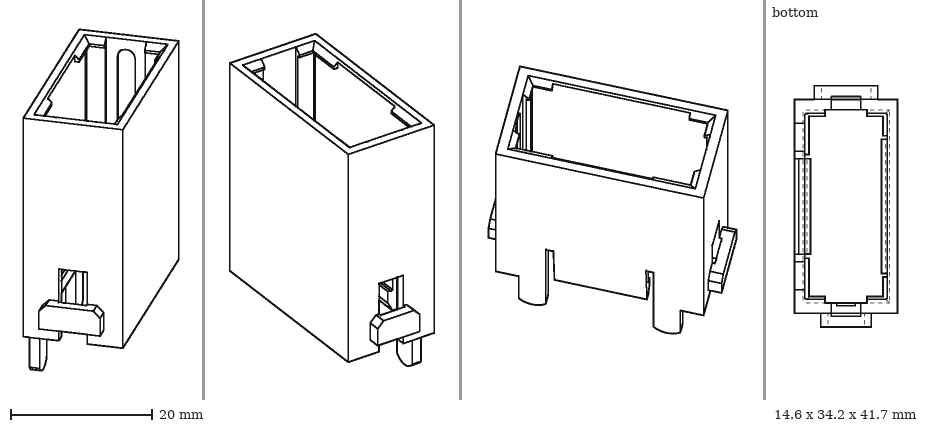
import cadquery as cq

body_x = 14.6
body_y = 30.32
overall_y = 34.2
overall_z = 41.65
leg_length = 7.37
body_z = overall_z - leg_length
wall = 1.5
half_x = body_x / 2
half_y = body_y / 2
cavity_half_x = half_x - wall
cavity_half_y = half_y - wall

mouth_half_x = 6.12
mouth_half_y = cavity_half_y
lip_slope = 0.9
lip_land = 0.37
lip_gap_ends = 5.9
lip_gap_left = 14.65
lip_gap_right = 20.0

pad_thickness = 0.5
pad_chamfer = 0.15

groove_width = 2.6
groove_depth = 0.4
groove_top = 32.7

slot_width = 4.12
slot_top = 11.25
slot_into_lug = 0.37
lug_length = (overall_y - body_y) / 2
lug_bottom = 2.45
lug_top = 6.25
lug_chamfer = 1.0
front_lug_width = 9.0
back_lug_width = 7.15

leg_inner = 7.85
leg_width = 3.95
leg_tip = 1.05

window_top = 9.4
tab_width = 13.5
right_catch_width = 19.08
tab_lean = 0.62
catch_depth = 0.8
catch_top = 3.45
catch_tip_z = 3.4
catch_valley_x = 0.25
catch_valley_z = 3.3
catch_chamfer_z = 1.5


def block(x0, x1, y0, y1, z0, z1):
    """Box between two opposite corners."""
    return cq.Workplane("XY").box(x1 - x0, y1 - y0, z1 - z0, centered=False).translate((x0, y0, z0))


def centred_along_y(profile, width):
    """Extrude an XZ profile along Y, symmetric about y = 0."""
    return cq.Workplane("XZ").polyline(profile).close().extrude(width / 2, both=True)


def make_sleeve():
    outer = block(-half_x, half_x, -half_y, half_y, 0, body_z)
    cavity = block(-cavity_half_x, cavity_half_x, -cavity_half_y, cavity_half_y, 0, body_z)
    return outer.cut(cavity)


def make_funnel():
    """Tapered lead-in, removed from both the lip and the upper edge of the walls."""
    return (
        cq.Workplane("XY", origin=(0, 0, body_z))
        .rect(2 * mouth_half_x, 2 * mouth_half_y)
        .workplane(offset=-lip_slope)
        .rect(2 * (mouth_half_x - lip_slope), 2 * (mouth_half_y - lip_slope))
        .loft(ruled=True)
    )


def make_lip():
    lip_bottom = body_z - lip_slope - lip_land
    ring = block(-half_x, half_x, -half_y, half_y, lip_bottom, body_z)
    throat_x = mouth_half_x - lip_slope
    throat_y = mouth_half_y - lip_slope
    throat = block(-throat_x, throat_x, -throat_y, throat_y, lip_bottom, body_z - lip_slope)
    gap_half = lip_gap_ends / 2
    end_gaps = block(-gap_half, gap_half, -cavity_half_y, cavity_half_y, lip_bottom, body_z)
    left_gap = block(-cavity_half_x, 0, -lip_gap_left / 2, lip_gap_left / 2, lip_bottom, body_z)
    right_gap = block(0, cavity_half_x, -lip_gap_right / 2, lip_gap_right / 2, lip_bottom, body_z)
    return ring.cut(throat).cut(end_gaps).cut(left_gap).cut(right_gap)


def make_pad(side_x, side_y):
    """Corner pad on an end wall, with a small chamfer into the long wall."""
    x_edge = lip_gap_ends / 2
    y_face = cavity_half_y - pad_thickness
    outline = [
        (x_edge, cavity_half_y),
        (x_edge, y_face),
        (cavity_half_x - pad_chamfer, y_face),
        (cavity_half_x, y_face - pad_chamfer),
        (cavity_half_x, cavity_half_y),
    ]
    points = [(side_x * x, side_y * y) for x, y in outline]
    return cq.Workplane("XY").polyline(points).close().extrude(body_z - lip_slope)


def make_lug(side_y, width):
    """Block on an end wall with both upper corners chamfered."""
    half = width / 2
    shoulder = lug_top - lug_chamfer
    outline = [
        (-half, lug_bottom),
        (half, lug_bottom),
        (half, shoulder),
        (half - lug_chamfer, lug_top),
        (-half + lug_chamfer, lug_top),
        (-half, shoulder),
    ]
    plane = cq.Workplane("XZ", origin=(0, side_y * half_y, 0))
    return plane.polyline(outline).close().extrude(-side_y * lug_length)


def make_leg(side_y):
    """Flat leg flush with the -X wall, ending in a shallow round tip."""
    inner = side_y * leg_inner
    middle = side_y * (leg_inner + leg_width / 2)
    outer = side_y * (leg_inner + leg_width)
    return (
        cq.Workplane("YZ", origin=(-half_x, 0, 0))
        .moveTo(inner, 0)
        .lineTo(inner, -leg_length + leg_tip)
        .threePointArc((middle, -leg_length), (outer, -leg_length + leg_tip))
        .lineTo(outer, 0)
        .close()
        .extrude(wall)
    )


def catch_side():
    """Inner side of a catch from top to bottom: (distance from the inner wall face, z)."""
    return [
        (0, catch_top),
        (catch_valley_x, catch_valley_z),
        (catch_depth, catch_tip_z),
        (catch_depth, catch_chamfer_z),
        (0, 0),
    ]


def make_right_catch():
    profile = [(cavity_half_x - depth, z) for depth, z in catch_side()]
    return centred_along_y(profile, right_catch_width)


def make_tab():
    inside = [(-cavity_half_x + depth, z) for depth, z in catch_side()]
    outside = [(-half_x + tab_lean, 0), (-half_x, window_top)]
    return centred_along_y(outside + [(-cavity_half_x, window_top)] + inside, tab_width)


def make_groove():
    radius = groove_width / 2
    spring = groove_top - radius
    return (
        cq.Workplane("XZ", origin=(0, cavity_half_y, 0))
        .moveTo(-radius, 0)
        .lineTo(-radius, spring)
        .threePointArc((0, groove_top), (radius, spring))
        .lineTo(radius, 0)
        .close()
        .extrude(-groove_depth)
    )


sleeve = make_sleeve().union(make_lip()).cut(make_funnel())
for side_y in (-1, 1):
    for side_x in (-1, 1):
        sleeve = sleeve.union(make_pad(side_x, side_y))
    sleeve = sleeve.union(make_leg(side_y))

sleeve = sleeve.union(make_lug(-1, front_lug_width)).union(make_lug(1, back_lug_width))
slot_reach = half_y + slot_into_lug
sleeve = sleeve.cut(block(-slot_width / 2, slot_width / 2, -slot_reach, slot_reach, 0, slot_top))
sleeve = sleeve.cut(make_groove())

window = block(-half_x, -cavity_half_x, -leg_inner, leg_inner, 0, window_top)
sleeve = sleeve.cut(window)

result = sleeve.union(make_tab()).union(make_right_catch())